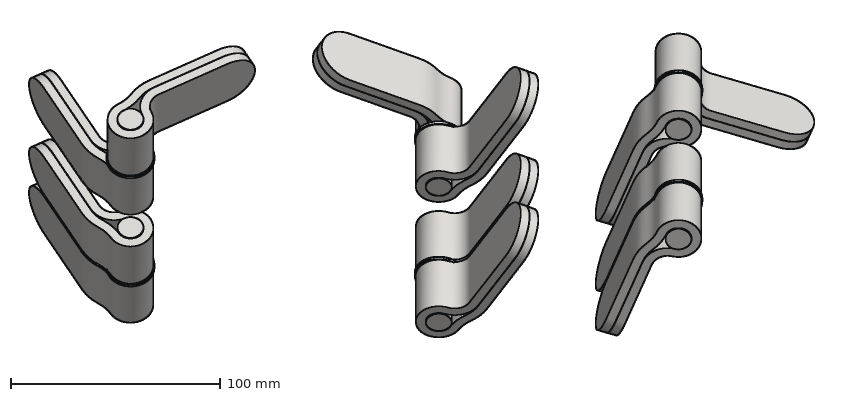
import cadquery as cq
import math

leaf_height = 30.1
washer_thickness = 1.7
pin_overhang = 0.5
hinge_pitch = 87.9

strap_thickness = 4.7
ply_gap = 0.2
barrel_radius = 11.0
washer_diameter = 23.0
pin_clearance = 0.2
leaf_reach = 71.6
ply_offset = 6.6
bend_start = 19.0
far_bend_radius = 23.5
roll_end_angle = -87.0

closed_swing = 8.0
open_swing = closed_swing - 90.0

roll_inner_radius = barrel_radius - strap_thickness
pin_radius = roll_inner_radius - pin_clearance
pin_length = 2 * leaf_height + washer_thickness + 2 * pin_overhang
near_outer_y = -ply_offset
near_inner_y = near_outer_y - strap_thickness
far_inner_y = near_inner_y - ply_gap
far_outer_y = far_inner_y - strap_thickness

near_bend_radius = (bend_start**2 + ply_offset**2 - barrel_radius**2) / (2 * (barrel_radius + ply_offset))
near_bend_center = cq.Vector(-bend_start, near_outer_y + near_bend_radius)

far_bend_center = cq.Vector(-bend_start, far_outer_y + far_bend_radius)
roll_end_direction = cq.Vector(
    math.cos(math.radians(roll_end_angle)), math.sin(math.radians(roll_end_angle))
)
bend_to_roll_end = roll_end_direction * barrel_radius - far_bend_center
reverse_bend_radius = (bend_to_roll_end.Length**2 - far_bend_radius**2) / (
    2 * (far_bend_radius - roll_end_direction.dot(bend_to_roll_end))
)
reverse_bend_center = roll_end_direction * (barrel_radius + reverse_bend_radius)

downward = cq.Vector(0, -1)
near_roll_direction = near_bend_center.normalized()
bend_meeting_direction = (reverse_bend_center - far_bend_center).normalized()


def arc_points(center, radius, start_direction, end_direction):
    """Middle and end point of an arc that turns less than half a circle."""
    middle_direction = (start_direction + end_direction).normalized()
    middle = center + middle_direction * radius
    end = center + end_direction * radius
    return middle.toTuple()[:2], end.toTuple()[:2]


def strap_profile():
    """Outline of the folded strap, pointing along -X, with the roll centered on the axis."""
    roll_middle = (near_roll_direction + roll_end_direction).normalized() * -1

    def roll(radius, end_direction):
        return (roll_middle * radius).toTuple()[:2], (end_direction * radius).toTuple()[:2]

    return (
        cq.Workplane("XY")
        .moveTo(-leaf_reach, far_outer_y)
        .lineTo(-bend_start, far_outer_y)
        .threePointArc(*arc_points(far_bend_center, far_bend_radius, downward, bend_meeting_direction))
        .threePointArc(*arc_points(
            reverse_bend_center, reverse_bend_radius, -bend_meeting_direction, -roll_end_direction))
        .threePointArc(*roll(barrel_radius, near_roll_direction))
        .threePointArc(*arc_points(near_bend_center, near_bend_radius, -near_roll_direction, downward))
        .lineTo(-leaf_reach, near_outer_y)
        .lineTo(-leaf_reach, near_inner_y)
        .lineTo(-bend_start, near_inner_y)
        .threePointArc(*arc_points(
            near_bend_center, near_bend_radius + strap_thickness, downward, -near_roll_direction))
        .threePointArc(*roll(roll_inner_radius, roll_end_direction))
        .threePointArc(*arc_points(
            reverse_bend_center, reverse_bend_radius + strap_thickness,
            -roll_end_direction, -bend_meeting_direction))
        .threePointArc(*arc_points(
            far_bend_center, far_bend_radius - strap_thickness, bend_meeting_direction, downward))
        .lineTo(-leaf_reach, far_inner_y)
        .close()
    )


def rounded_tip_envelope():
    """Block with a full-round end that trims the leaf tip to a half circle."""
    tip_radius = leaf_height / 2
    return (
        cq.Workplane("XZ", origin=(0, barrel_radius, 0))
        .moveTo(barrel_radius, 0)
        .lineTo(tip_radius - leaf_reach, 0)
        .threePointArc((-leaf_reach, tip_radius), (tip_radius - leaf_reach, leaf_height))
        .lineTo(barrel_radius, leaf_height)
        .close()
        .extrude(barrel_radius - far_outer_y)
    )


def make_leaf(swing, base_z):
    leaf = strap_profile().extrude(leaf_height).intersect(rounded_tip_envelope())
    return leaf.rotate((0, 0, 0), (0, 0, 1), swing).translate((0, 0, base_z))


def make_washer(base_z):
    return (
        cq.Workplane("XY", origin=(0, 0, base_z))
        .circle(washer_diameter / 2)
        .circle(pin_radius)
        .extrude(washer_thickness)
    )


def make_pin(base_z):
    return cq.Workplane("XY", origin=(0, 0, base_z)).circle(pin_radius).extrude(pin_length)


bodies = []
for hinge_base, upper_leaf_swing in [(0, closed_swing), (hinge_pitch, open_swing)]:
    lower_leaf_base = hinge_base + pin_overhang
    washer_base = lower_leaf_base + leaf_height
    upper_leaf_base = washer_base + washer_thickness
    bodies.append(make_pin(hinge_base).val())
    bodies.append(make_leaf(closed_swing, lower_leaf_base).val())
    bodies.append(make_washer(washer_base).val())
    bodies.append(make_leaf(upper_leaf_swing, upper_leaf_base).val())

result = cq.Compound.makeCompound(bodies)